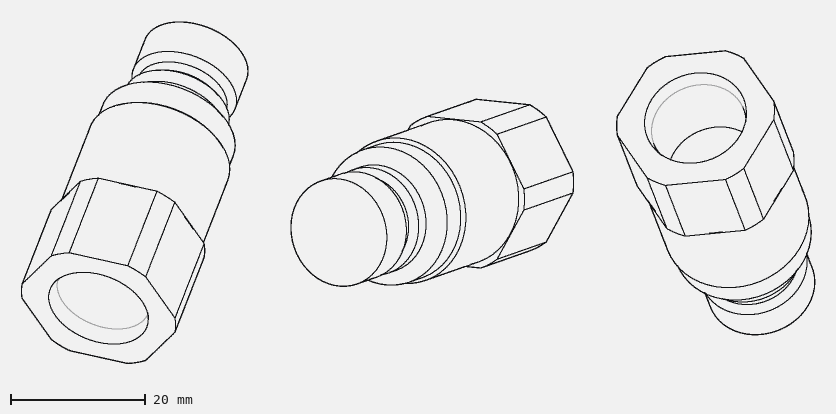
import cadquery as cq
import math

length = 51.05
hex_length = 15.3
hex_flats = 22.1
hex_corner_diameter = 23.9

nose_radius = 8.1
groove_radius = 7.0
collar_radius = 10.4
body_radius = 11.0

groove_start = 6.1
groove_floor_start = 7.15
groove_floor_end = 8.85
groove_end = 9.9
shoulder_start = 12.2
shoulder_end = 14.55
collar_end = 18.75
body_start = 19.3

mouth_radius = 7.7
bore_radius = 7.15
mouth_depth = 2.55
bore_depth = 15.3


def revolve_about_y(outline):
    """Turn a closed (radius, y) outline about the Y axis."""
    return cq.Workplane("XY").polyline(outline).close().revolve(360, (0, 0), (0, 1))


def turned_body():
    return revolve_about_y([
        (0, length),
        (nose_radius, length),
        (nose_radius, length - groove_start),
        (groove_radius, length - groove_floor_start),
        (groove_radius, length - groove_floor_end),
        (nose_radius, length - groove_end),
        (nose_radius, length - shoulder_start),
        (collar_radius, length - shoulder_end),
        (collar_radius, length - collar_end),
        (body_radius, length - body_start),
        (body_radius, hex_length),
        (0, hex_length),
    ])


def hexagon_end():
    """Hexagon with flats facing +Z and -Z, its corners turned down to a cylinder."""
    across_corners = hex_flats / math.cos(math.pi / 6)
    corners = [
        (across_corners / 2 * math.cos(i * math.pi / 3), across_corners / 2 * math.sin(i * math.pi / 3))
        for i in range(6)
    ]
    hexagon = cq.Workplane("XZ").polyline(corners).close().extrude(-hex_length)
    corner_cylinder = cq.Workplane("XZ").circle(hex_corner_diameter / 2).extrude(-hex_length)
    return hexagon.intersect(corner_cylinder)


def bore():
    return revolve_about_y([
        (0, 0),
        (mouth_radius, 0),
        (bore_radius, mouth_depth),
        (bore_radius, bore_depth),
        (0, bore_depth),
    ])


result = turned_body().union(hexagon_end()).cut(bore())